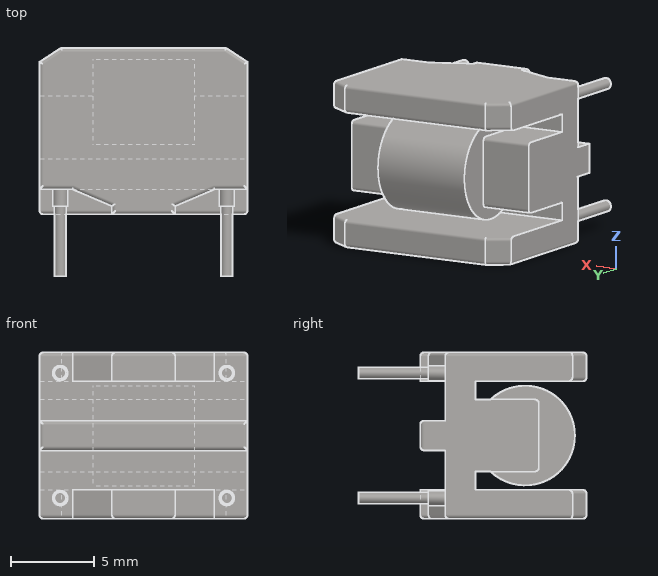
import cadquery as cq

body_width = 12.5
body_height = 10.0
body_back = 5.0
body_depth = 8.5
body_front = body_back - body_depth
nose_front = body_front - 1.5
edge_radius = 0.25

flange_thickness = 1.75
flange_inner_z = body_height / 2 - flange_thickness
back_chamfer_x = 1.3
back_chamfer_y = 0.85

nose_tip_half_width = 1.9
nose_root_half_width = 4.25
nose_shoulder_y = body_front - 1.0

web_thickness = 1.83
rib_height = 1.8

core_block_height = 4.33
core_block_back = body_back - 2.87
winding_length = 6.1
winding_radius = 3.0
winding_y = body_back - 3.7

pin_span_x = 10.0
pin_span_z = 7.5
pin_diameter = 0.7
collar_diameter = 0.9
collar_front = nose_shoulder_y
overall_depth = 13.71
pin_tip = body_back - overall_depth


def flange_outline(plane):
    half_width = body_width / 2
    right_side = [
        (nose_tip_half_width, nose_front),
        (nose_tip_half_width, nose_shoulder_y),
        (nose_root_half_width, body_front),
        (half_width, body_front),
        (half_width, body_back - back_chamfer_y),
        (half_width - back_chamfer_x, body_back),
    ]
    left_side = [(-x, y) for x, y in reversed(right_side)]
    return plane.polyline(right_side + left_side).close()


def make_upper_flange():
    """Flange plate with its outer rim and its inner back edges rounded."""
    plate = flange_outline(cq.Workplane("XY").workplane(offset=flange_inner_z)).extrude(flange_thickness)
    half_width = body_width / 2
    back_region = cq.selectors.BoxSelector(
        (-half_width, body_back - back_chamfer_y, flange_inner_z - edge_radius),
        (half_width, body_back + edge_radius, flange_inner_z + edge_radius),
    )
    inner_back_edges = plate.faces("<Z").edges(back_region)
    outer_rim = plate.faces(">Z").edges()
    return outer_rim.add(inner_back_edges).fillet(edge_radius)


def make_box(length_x, y_min, y_max, height_z):
    return cq.Workplane("XY").box(length_x, y_max - y_min, height_z).translate((0, (y_min + y_max) / 2, 0))


def make_web():
    return make_box(body_width, body_front, body_front + web_thickness, 2 * flange_inner_z)


def make_rib():
    rib = make_box(body_width, nose_front, body_front, rib_height)
    return rib.faces("<Y").edges().fillet(edge_radius)


def make_core_block():
    block = make_box(body_width, body_front + web_thickness, core_block_back, core_block_height)
    return block.faces(">Y").edges("|X").fillet(edge_radius)


def make_winding():
    profile = cq.Workplane("YZ").center(winding_y, 0).circle(winding_radius)
    return profile.extrude(winding_length / 2, both=True)


def make_rod(diameter, front):
    """Rod along Y at the origin, from the front of the body to the given front."""
    return cq.Workplane("XZ", origin=(0, body_front, 0)).circle(diameter / 2).extrude(body_front - front)


def make_pin():
    return make_rod(collar_diameter, collar_front).union(make_rod(pin_diameter, pin_tip))


upper_flange = make_upper_flange()
result = make_web().union(upper_flange).union(upper_flange.mirror("XY"))
result = result.union(make_rib()).union(make_core_block()).union(make_winding())
for side in (-1, 1):
    for level in (-1, 1):
        pin_place = (side * pin_span_x / 2, 0, level * pin_span_z / 2)
        result = result.union(make_pin().translate(pin_place))